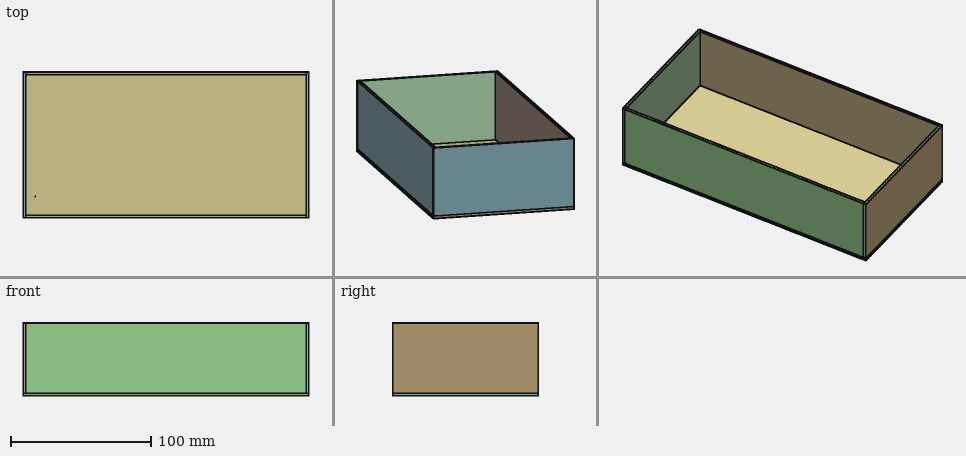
import cadquery as cq

length = 204.0
width = 104.0
height = 52.0
panel = 2.0

pin_diameter = 0.2
pin_height = pin_diameter
pin_from_left = 8.8
pin_from_front = 15.3

wall_height = height - panel
side_wall_length = length - 2 * panel


def standing_box(size_x, size_y, size_z, x, y, z):
    """Box centred on (x, y) whose underside is at z."""
    box = cq.Workplane("XY").box(size_x, size_y, size_z, centered=(True, True, False))
    return box.translate((x, y, z))


def end_wall(side):
    """Wall across the full width, at the -X (side = -1) or +X (side = 1) end."""
    return standing_box(panel, width, wall_height, side * (length - panel) / 2, 0, panel)


def side_wall(side):
    """Wall between the end walls, along the -Y (side = -1) or +Y (side = 1) edge."""
    return standing_box(side_wall_length, panel, wall_height, 0, side * (width - panel) / 2, panel)


floor = standing_box(length, width, panel, 0, 0, 0)

end_walls = [end_wall(side) for side in (-1, 1)]
side_walls = [side_wall(side) for side in (-1, 1)]

pin_x = pin_from_left - length / 2
pin_y = pin_from_front - width / 2
pin = cq.Workplane("XY").circle(pin_diameter / 2).extrude(pin_height).translate((pin_x, pin_y, panel))

result = cq.Compound.makeCompound([
    floor.val(),
    *[wall.val() for wall in end_walls],
    *[wall.val() for wall in side_walls],
    pin.val(),
])